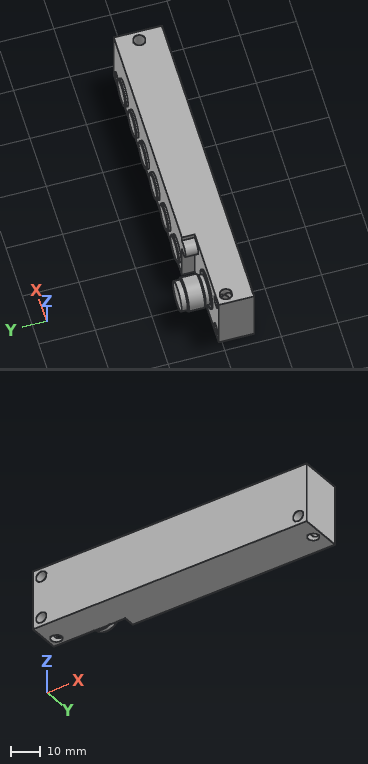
import cadquery as cq

LENGTH = 113.0
HEIGHT = 24.0
FULL_DEPTH = 17.1
STEP_DEPTH = 12.5
STEP_LENGTH = 29.5

LUG_DIAMETER = 5.6
LUG_REACH = 4.5
LUG_Z = 7.1

HOLE_DIAMETER = 4.2
HOLE_INSET = 3.5
VERTICAL_HOLE_Y = 9.0

CONNECTOR_X = 14.5
TOTAL_DEPTH = 23.0
FLANGE_DIAMETER = 14.0
NECK_DIAMETER = 10.7
NUT_DIAMETER = 12.0
FLANGE_TOP = 13.0
FLANGE_CHAMFER = 0.2
NUT_BOTTOM = 14.5
NUT_TOP = 20.6
NUT_CHAMFER = 0.6
GROOVE_DIAMETER = 10.0
GROOVE_TOP = 20.9

SOCKET_COUNT = 6
SOCKET_DIAMETER = 10.0
SOCKET_HEIGHT = 1.0
SOCKET_CHAMFER = 0.3
FIRST_SOCKET_X = 35.4
SOCKET_PITCH = 13.0
SOCKET_Z = -3.8


def cylinder_y(diameter, x, z, y_start, y_end):
    """Solid cylinder along +Y between two depths."""
    base = cq.Workplane("XZ", origin=(x, y_start, z))
    return base.circle(diameter / 2).extrude(y_start - y_end)


def make_body():
    profile = [
        (0, 0),
        (LENGTH, 0),
        (LENGTH, FULL_DEPTH),
        (STEP_LENGTH, FULL_DEPTH),
        (STEP_LENGTH, STEP_DEPTH),
        (0, STEP_DEPTH),
    ]
    return cq.Workplane("XY").polyline(profile).close().extrude(HEIGHT / 2, both=True)


def make_lug():
    radius = LUG_DIAMETER / 2
    center_x = STEP_LENGTH - LUG_REACH + radius
    return (
        cq.Workplane("XZ", origin=(0, STEP_DEPTH, 0))
        .moveTo(STEP_LENGTH, LUG_Z + radius)
        .lineTo(center_x, LUG_Z + radius)
        .threePointArc((center_x - radius, LUG_Z), (center_x, LUG_Z - radius))
        .lineTo(STEP_LENGTH, LUG_Z - radius)
        .close()
        .extrude(STEP_DEPTH - FULL_DEPTH)
    )


def make_connector():
    flange = cylinder_y(FLANGE_DIAMETER, CONNECTOR_X, 0, STEP_DEPTH, FLANGE_TOP)
    flange = flange.faces(">Y").chamfer(FLANGE_CHAMFER)
    neck = cylinder_y(NECK_DIAMETER, CONNECTOR_X, 0, STEP_DEPTH, NUT_TOP)
    nut = cylinder_y(NUT_DIAMETER, CONNECTOR_X, 0, NUT_BOTTOM, NUT_TOP)
    nut = nut.faces("<Y").chamfer(NUT_CHAMFER)
    groove_core = cylinder_y(GROOVE_DIAMETER, CONNECTOR_X, 0, NUT_TOP, GROOVE_TOP)
    collar = cylinder_y(NECK_DIAMETER, CONNECTOR_X, 0, GROOVE_TOP, TOTAL_DEPTH)
    return flange.union(neck).union(nut).union(groove_core).union(collar)


def make_socket(x):
    rim = cylinder_y(SOCKET_DIAMETER, x, SOCKET_Z, FULL_DEPTH, FULL_DEPTH + SOCKET_HEIGHT)
    return rim.faces(">Y").chamfer(SOCKET_CHAMFER)


result = make_body().union(make_lug()).union(make_connector())
for index in range(SOCKET_COUNT):
    result = result.union(make_socket(FIRST_SOCKET_X + index * SOCKET_PITCH))

near_x = HOLE_INSET
far_x = LENGTH - HOLE_INSET
hole_z = HEIGHT / 2 - HOLE_INSET
for x, z in [(near_x, hole_z), (near_x, -hole_z), (far_x, -hole_z)]:
    result = result.cut(cylinder_y(HOLE_DIAMETER, x, z, 0, FULL_DEPTH))

vertical_holes = (
    cq.Workplane("XY")
    .pushPoints([(near_x, VERTICAL_HOLE_Y), (far_x, VERTICAL_HOLE_Y)])
    .circle(HOLE_DIAMETER / 2)
    .extrude(HEIGHT / 2, both=True)
)
result = result.cut(vertical_holes)